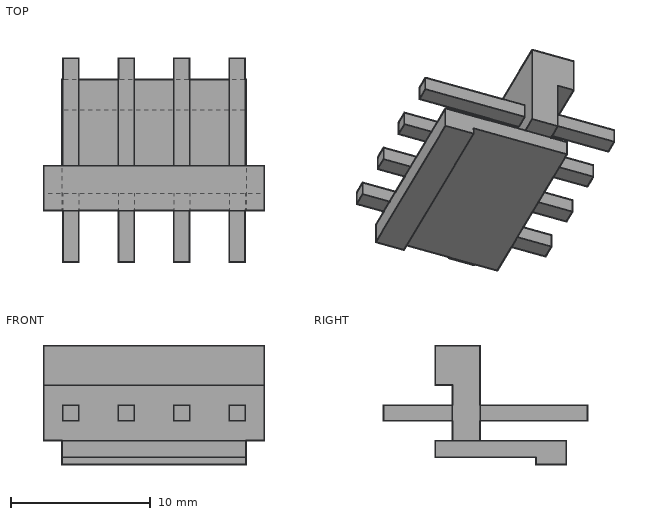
import cadquery as cq

wall_length = 15.78
head_depth = 3.22
wall_setback = 1.23
total_height = 8.5
head_bottom = 5.68

plate_width = 13.19
plate_depth = 9.39
plate_top = 1.72
lip_height = 0.52
lip_depth = 2.18

pin_count = 4
pin_pitch = 3.96
pin_size = 1.14
pin_length = 14.6
pin_front_reach = 3.7
pin_center_height = 3.7


def extrude_side_profile(points, width):
    """Extrude a (Y, Z) outline symmetrically about the X = 0 plane."""
    return cq.Workplane("YZ").polyline(points).close().extrude(width / 2, both=True)


def make_wall():
    return extrude_side_profile(
        [
            (wall_setback, plate_top),
            (head_depth, plate_top),
            (head_depth, total_height),
            (0, total_height),
            (0, head_bottom),
            (wall_setback, head_bottom),
        ],
        wall_length,
    )


def make_plate():
    lip_front = plate_depth - lip_depth
    return extrude_side_profile(
        [
            (0, lip_height),
            (lip_front, lip_height),
            (lip_front, 0),
            (plate_depth, 0),
            (plate_depth, plate_top),
            (0, plate_top),
        ],
        plate_width,
    )


def make_pin(center_x):
    pin = cq.Workplane("XY").box(pin_size, pin_length, pin_size, centered=(True, False, True))
    return pin.translate((center_x, -pin_front_reach, pin_center_height))


result = make_wall().union(make_plate())
for index in range(pin_count):
    offset_from_middle = index - (pin_count - 1) / 2
    result = result.union(make_pin(offset_from_middle * pin_pitch))